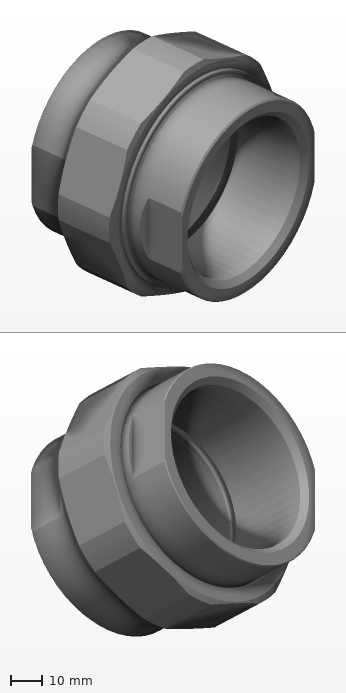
import cadquery as cq
import math

total_length = 63.0
bore_diameter = 56.65

tube_diameter = 70.0
tube_radius = tube_diameter / 2
bore_radius = bore_diameter / 2
flat_half_width = 33.0
flat_depth = tube_radius - flat_half_width
mouth_diameter = 60.8
mouth_chamfer = (mouth_diameter - bore_diameter) / 2
socket_rim_chamfer = 0.3
tail_rim_chamfer = 0.6
socket_flat_length = 14.9
tail_flat_length = 14.05

nut_start = 17.95
nut_end = 41.0
nut_outer_diameter = 84.7
nut_across_flats = 81.45
nut_face_diameter = 80.6
nut_chamfer_length = 0.85
nut_lip_bore = 70.5
nut_lip_chamfer = 0.4
nut_lip_length = 3.4
nut_thread_bore = 74.3
nut_flat_count = 8
lip_end = nut_start + nut_lip_length

flange_diameter = 74.0
joint_start = 32.1
joint_gap = 2.4
tail_start = joint_start + joint_gap
tail_edge_chamfer = 0.4
tail_counterbore_radius = 57.0 / 2
tail_counterbore_depth = 2.2

collar_radius = nut_thread_bore / 2
collar_end = 42.2
collar_chamfer = 0.3
collar_foot_radius = 35.6
collar_foot_end = 42.85


def revolve_about_x(points):
    """Turn a closed (x, radius) outline about the X axis."""
    return cq.Workplane("XY").polyline(points).close().revolve(360, (0, 0, 0), (1, 0, 0))


def cut_wrench_flats(body, outline):
    """Cut an (x, y) outline from the +Y side and its mirror image from the -Y side."""
    cutter = cq.Workplane("XY").polyline(outline).close().extrude(tube_radius, both=True)
    return body.cut(cutter).cut(cutter.mirror("XZ"))


def make_socket():
    """Flanged tube held by the lip of the nut."""
    body = revolve_about_x([
        (0, bore_radius + mouth_chamfer),
        (0, tube_radius - socket_rim_chamfer),
        (socket_rim_chamfer, tube_radius),
        (lip_end, tube_radius),
        (lip_end, flange_diameter / 2),
        (joint_start, flange_diameter / 2),
        (joint_start, bore_radius),
        (mouth_chamfer, bore_radius),
    ])
    return cut_wrench_flats(body, [
        (0, flat_half_width),
        (socket_flat_length, flat_half_width),
        (socket_flat_length, tube_radius),
        (0, tube_radius),
    ])


def make_tail():
    """Threaded tube screwed into the nut, with flats that run out at 45 degrees."""
    body = revolve_about_x([
        (tail_start, tail_counterbore_radius + tail_edge_chamfer),
        (tail_start, collar_radius),
        (collar_end - collar_chamfer, collar_radius),
        (collar_end, collar_radius - collar_chamfer),
        (collar_end, collar_foot_radius),
        (collar_foot_end, tube_radius),
        (total_length - tail_rim_chamfer, tube_radius),
        (total_length, tube_radius - tail_rim_chamfer),
        (total_length, bore_radius + mouth_chamfer),
        (total_length - mouth_chamfer, bore_radius),
        (tail_start + tail_counterbore_depth, bore_radius),
        (tail_start + tail_counterbore_depth, tail_counterbore_radius),
        (tail_start + tail_edge_chamfer, tail_counterbore_radius),
    ])
    flat_start = total_length - tail_flat_length
    return cut_wrench_flats(body, [
        (total_length, flat_half_width),
        (flat_start, flat_half_width),
        (flat_start - flat_depth, tube_radius),
        (total_length, tube_radius),
    ])


def make_nut():
    """Octagon with its corners turned round and both outer rims chamfered."""
    nut_radius = nut_outer_diameter / 2
    face_radius = nut_face_diameter / 2
    turned_ring = revolve_about_x([
        (nut_start + nut_lip_chamfer, nut_lip_bore / 2),
        (nut_start, nut_lip_bore / 2 + nut_lip_chamfer),
        (nut_start, face_radius),
        (nut_start + nut_chamfer_length, nut_radius),
        (nut_end - nut_chamfer_length, nut_radius),
        (nut_end, face_radius),
        (nut_end, nut_thread_bore / 2),
        (lip_end, nut_thread_bore / 2),
        (lip_end, nut_lip_bore / 2),
    ])
    corner_diameter = nut_across_flats / math.cos(math.pi / nut_flat_count)
    octagon = (
        cq.Workplane("YZ", origin=(nut_start, 0, 0))
        .polygon(nut_flat_count, corner_diameter)
        .extrude(nut_end - nut_start)
    )
    return turned_ring.intersect(octagon)


socket = make_socket()
tail = make_tail()
nut = make_nut()

result = cq.Compound.makeCompound([socket.val(), tail.val(), nut.val()])